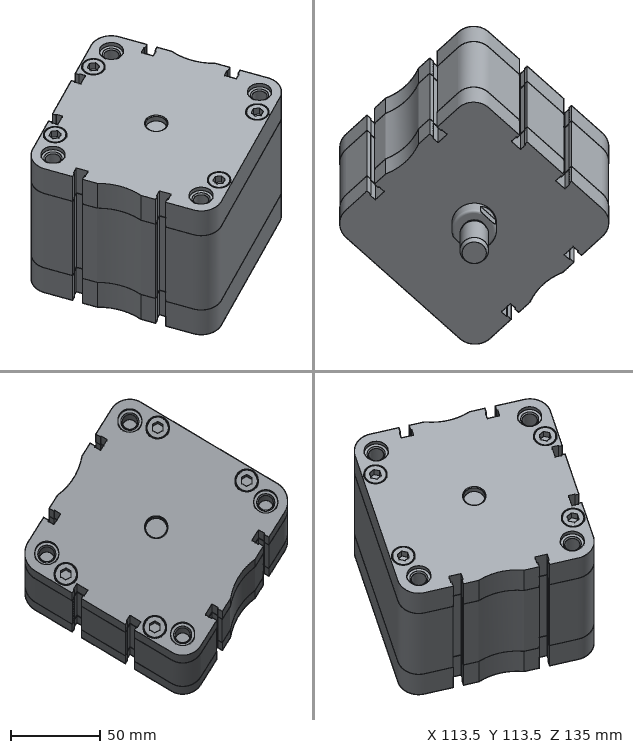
import cadquery as cq


overall_height = 135.0
housing_width = 113.5
housing_height = 97.0
cap_height = 19.5
barrel_height = housing_height - 2 * cap_height
cap_overhang = 0.07
barrel_width = housing_width - 2 * cap_overhang
corner_radius = 12.0

cap_scallop_half_width = 13.1
barrel_scallop_half_width = 13.4
scallop_depth = 2.5

slot_mouth_width = 6.0
slot_inner_width = 6.6
cap_slot_clearance = 0.3
front_slot_offset = 25.0
front_slot_mouth_depth = 3.1
front_slot_depth = 6.9
side_slot_offset = 17.4
side_slot_mouth_depth = 2.2
side_slot_depth = 5.7

mount_hole_offset = 44.5
mount_bore_diameter = 13.5
mount_bore_depth = 2.7
mount_chamfer_diameter = 10.1
mount_hole_diameter = 8.5
mount_hole_depth = 16.2

screw_offset_x = 49.3
screw_offset_y = 29.2
screw_recess_diameter = 13.1
screw_head_diameter = 12.0
screw_recess_depth = 2.7
hex_socket_flats = 6.0
hex_socket_depth = 4.7

centre_hole_diameter = 12.0
centre_rim_diameter = 13.1
centre_hole_depth = 4.0

rod_diameter = 25.0
rod_shoulder = 10.0
rod_edge_radius = 1.5
neck_diameter = 14.0
neck_end = 12.7
thread_diameter = 16.0
thread_start = 13.5
thread_tip_diameter = 13.5
thread_tip_height = 3.2
rod_end = overall_height - housing_height
flats_width = 22.0
flats_start = 3.1


def scallop_cutter(half_width, height):
    """Round bar whose surface cuts the scallop into the front side (-Y)."""
    radius = (half_width**2 + scallop_depth**2) / (2 * scallop_depth)
    axis_y = -housing_width / 2 + scallop_depth - radius
    return cq.Workplane("XY").center(0, axis_y).circle(radius).extrude(height)


def slot_cutter(mouth_depth, depth, clearance, height):
    """T-slot open towards -Y, centred on X = 0 at the front side."""
    side_y = -housing_width / 2
    mouth = cq.Workplane("XY").center(0, side_y).rect(slot_mouth_width, 2 * depth).extrude(height)
    inner_width = slot_inner_width + 2 * clearance
    inner_depth = depth + clearance - mouth_depth
    inner_y = side_y + mouth_depth + inner_depth / 2
    inner = cq.Workplane("XY").center(0, inner_y).rect(inner_width, inner_depth).extrude(height)
    return mouth.union(inner)


def make_profile(width, scallop_half_width, slot_clearance, height):
    """Rounded square section with scallops and T-slots, standing on Z = 0."""
    body = cq.Workplane("XY").rect(width, width).extrude(height)
    body = body.edges("|Z").fillet(corner_radius)
    front_slot = slot_cutter(front_slot_mouth_depth, front_slot_depth, slot_clearance, height)
    side_slot = slot_cutter(side_slot_mouth_depth, side_slot_depth, slot_clearance, height)
    side_slot = side_slot.rotate((0, 0, 0), (0, 0, 1), -90)
    for side in (-1, 1):
        placed_slot = front_slot.translate((side * front_slot_offset, 0, 0))
        body = body.cut(placed_slot).cut(placed_slot.mirror("XZ"))
        body = body.cut(side_slot.translate((0, side * side_slot_offset, 0)))
    scallop = scallop_cutter(scallop_half_width, height)
    return body.cut(scallop).cut(scallop.mirror("XZ"))


def make_barrel():
    """Middle section between the caps, slightly narrower than they are."""
    section = make_profile(barrel_width, barrel_scallop_half_width, 0, barrel_height)
    return section.translate((0, 0, cap_height))


def make_plain_cap():
    """Cap without holes, standing on Z = 0."""
    return make_profile(housing_width, cap_scallop_half_width, cap_slot_clearance, cap_height)


def make_bottom_cap():
    """Bearing cap with a through bore for the rod."""
    bore = cq.Workplane("XY").circle(rod_diameter / 2).extrude(cap_height)
    return make_plain_cap().cut(bore)


def cone_cutter(top_diameter, bottom_diameter, top_z):
    """45 degree countersink about Z, widest at its top."""
    depth = (top_diameter - bottom_diameter) / 2
    base = cq.Vector(0, 0, top_z - depth)
    return cq.Workplane(cq.Solid.makeCone(bottom_diameter / 2, top_diameter / 2, depth, pnt=base))


def make_top_cap():
    """End cap with mounting holes, cap screws and a centring hole in its top face."""
    cap = make_plain_cap().translate((0, 0, housing_height - cap_height))
    top = cq.Workplane("XY", origin=(0, 0, housing_height))

    mount_bore = top.circle(mount_bore_diameter / 2).extrude(-mount_bore_depth)
    mount_hole = top.circle(mount_hole_diameter / 2).extrude(-mount_hole_depth)
    mount_chamfer = cone_cutter(
        mount_chamfer_diameter, mount_hole_diameter, housing_height - mount_bore_depth
    )
    mount = mount_bore.union(mount_hole).union(mount_chamfer)

    recess = top.circle(screw_recess_diameter / 2).extrude(-screw_recess_depth)
    head = top.circle(screw_head_diameter / 2).extrude(-screw_recess_depth)
    socket = top.polygon(6, hex_socket_flats, circumscribed=True).extrude(-hex_socket_depth)
    screw_gap = recess.cut(head)

    for x_side in (-1, 1):
        for y_side in (-1, 1):
            cap = cap.cut(mount.translate((x_side * mount_hole_offset, y_side * mount_hole_offset, 0)))
            screw_place = (x_side * screw_offset_x, y_side * screw_offset_y, 0)
            cap = cap.cut(screw_gap.translate(screw_place)).cut(socket.translate(screw_place))

    centre_hole = top.circle(centre_hole_diameter / 2).extrude(-centre_hole_depth)
    centre_rim = cone_cutter(centre_rim_diameter, centre_hole_diameter, housing_height)
    return cap.cut(centre_hole).cut(centre_rim)


def make_rod():
    """Stepped rod turned about Z, with two wrench flats facing -X and +X."""
    rod_radius = rod_diameter / 2
    rod = (
        cq.Workplane("XZ")
        .moveTo(0, cap_height)
        .lineTo(rod_radius, cap_height)
        .lineTo(rod_radius, rod_edge_radius - rod_shoulder)
        .radiusArc((rod_radius - rod_edge_radius, -rod_shoulder), rod_edge_radius)
        .lineTo(neck_diameter / 2, -rod_shoulder)
        .lineTo(neck_diameter / 2, -neck_end)
        .lineTo(thread_diameter / 2, -thread_start)
        .lineTo(thread_diameter / 2, thread_tip_height - rod_end)
        .lineTo(thread_tip_diameter / 2, -rod_end)
        .lineTo(0, -rod_end)
        .close()
        .revolve(360, (0, 0, 0), (0, 1, 0))
    )
    flat_x = flats_width / 2
    ramp = rod_radius - flat_x
    flat = (
        cq.Workplane("XZ")
        .moveTo(flat_x, -rod_shoulder)
        .lineTo(flat_x, -flats_start)
        .lineTo(rod_radius, ramp - flats_start)
        .lineTo(rod_radius, -rod_shoulder)
        .close()
        .extrude(rod_radius, both=True)
    )
    return rod.cut(flat).cut(flat.mirror("YZ"))


barrel = make_barrel()
bottom_cap = make_bottom_cap()
top_cap = make_top_cap()
rod = make_rod()

result = cq.Compound.makeCompound([barrel.val(), bottom_cap.val(), top_cap.val(), rod.val()])